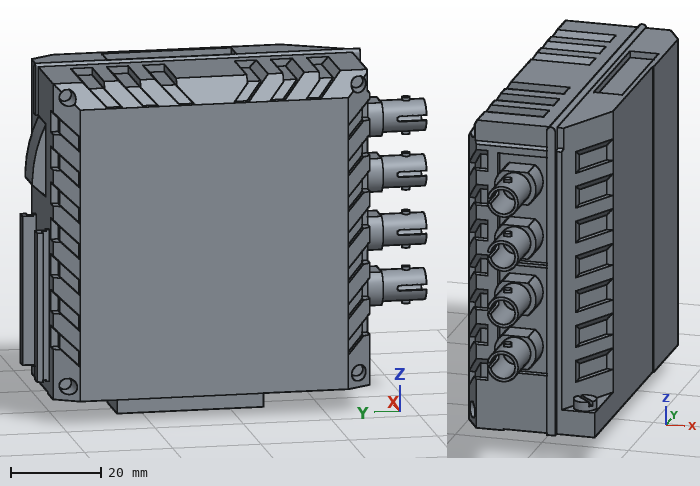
import cadquery as cq
import math


WIDTH = 30.9
DEPTH = 71.8
TOP_Z = 72.1
RAISED_BOTTOM_Z = 0.3
LEFT_FOOT_WIDTH = 9.55
CHAMFER_ACROSS = 3.3
CHAMFER_RUN = 5.5
LIP_SETBACK = 0.65
LIP_TOP_Z = 67.3
SIDE_STEP = 0.25
SIDE_STEP_Y = 46.6
OVERCUT = 1.0

BEAD_X = 20.9
BEAD_WIDTH = 1.9
BEAD_FRONT_Y = -1.2
BEAD_BACK_Y = 72.4
BEAD_TOP_Z = 72.7
BEAD_REAR_BOTTOM_Z = 61.1

GROOVE_HEIGHT = 4.85
GROOVE_PITCH = 8.18
GROOVE_DEPTH = 1.65
GROOVE_EDGE_DEPTH = 1.5
GROOVE_SLOPE = 0.93
SIDE_GROOVE_COUNT = 7
SIDE_GROOVE_TOP_Z = 65.4
SIDE_GROOVE_REACH = 5.9
TOP_GROOVE_COUNT = 3
TOP_GROOVE_END_Y = 65.1
TOP_GROOVE_REACH = 16.85

FACET_START_X = 23.0
FACET_END_Y = 14.8
FACET_BOTTOM_Z = 6.1
FACET_POCKET_START_X = 25.15
FACET_POCKET_ACROSS = 1.45
FACET_POCKET_ROOF_DROP = 1.65
FACET_POCKET_TOP_Z = 65.6
FACET_POCKET_HEIGHT = 5.05

SCREW_DIAMETER = 5.2
SCREW_HEIGHT = 2.05
SCREW_X = 27.6
SCREW_Y = 3.1
SCREW_SLOT_WIDTH = 0.85
SCREW_SLOT_DEPTH = 1.0
SCREW_SLOT_ANGLE = -45

HOLE_MOUTH_RADIUS = 1.95
HOLE_FLOOR_RADIUS = 1.5
HOLE_FLOOR_X = 5.1
HOLE_Y = (2.75, 68.8)
HOLE_Z = (3.25, 69.1)

PAIR_CENTRES_Z = (52.4, 26.45)
PAIR_WINDOW_HEIGHT = 25.3
PAIR_WINDOW_X = (8.25, 19.8)
PAIR_WINDOW_DEPTH = 1.5
CONNECTOR_PITCH = 12.7
CONNECTOR_X = 13.5
CONNECTOR_BASE_DIAMETER = 9.6
CONNECTOR_BASE_FLATS = 7.6
CONNECTOR_BASE_END_Y = -4.15
BARREL_DIAMETER = 7.1
BORE_DIAMETER = 5.7
BARREL_END_Y = -14.24
LUG_DIAMETER = 1.75
LUG_SPAN = 8.4
LUG_Y = -10.2
KEYWAY_WIDTH = 1.25
KEYWAY_END_Y = -7.6

LABEL_X = (22.9, 29.5)
LABEL_Y = (26.2, 55.5)
LABEL_RECESS_DEPTH = 1.5

CLIP_CENTRE_X = WIDTH / 2
HOOK_BACK_Y = 74.85
HOOK_LEG_OFFSET = 6.9
HOOK_LEG_THICKNESS = 1.15
HOOK_FLANGE_REACH = 2.8
HOOK_FLANGE_THICKNESS = 1.3
HOOK_Z = (3.5, 37.5)
HOOK_ROOT_LENGTH = 0.7
HOOK_ROOT_MARGIN = 0.3
LATCH_WIDTH = 8.2
LATCH_TOP_Z = 61.0
LATCH_CURVE_MIDDLE = (73.7, 56.0)
LATCH_TIP_Z = (47.2, 48.6)
LATCH_BOTTOM_Z = 44.4

TERMINAL_X = (10.2, 21.2)
TERMINAL_Y = (22.7, 55.9)
TERMINAL_HEIGHT = 5.6
BUTTON_X = 14.7
BUTTON_Y = (10.5, 14.3, 17.9)
BUTTON_RADIUS = 1.95
BUTTON_WIDTH = 2.85
BUTTON_DROP = 1.55


def box(x_range, y_range, z_range):
    """Box spanning the three given (low, high) ranges."""
    size = [high - low for low, high in (x_range, y_range, z_range)]
    corner = (x_range[0], y_range[0], z_range[0])
    return cq.Workplane("XY").box(*size, centered=False).translate(corner)


def prism_along_x(points, x_start, x_end):
    """Prism with a (Y, Z) outline."""
    return cq.Workplane("YZ").polyline(points).close().extrude(x_end - x_start).translate((x_start, 0, 0))


def cylinder_along_y(diameter, x, z, y_start, y_end):
    profile = cq.Workplane("XZ", origin=(x, y_start, z)).circle(diameter / 2)
    return profile.extrude(y_start - y_end)


def housing():
    plan = [
        (CHAMFER_ACROSS, 0),
        (WIDTH - SIDE_STEP, 0),
        (WIDTH - SIDE_STEP, SIDE_STEP_Y),
        (WIDTH, SIDE_STEP_Y),
        (WIDTH, DEPTH - CHAMFER_RUN),
        (WIDTH - CHAMFER_ACROSS, DEPTH),
        (CHAMFER_ACROSS, DEPTH),
        (0, DEPTH - CHAMFER_RUN),
        (0, CHAMFER_RUN),
    ]
    body = cq.Workplane("XY").polyline(plan).close().extrude(TOP_Z)
    top_edge = [
        (0, TOP_Z),
        (0, TOP_Z - CHAMFER_RUN),
        (CHAMFER_ACROSS, TOP_Z),
    ]
    body = body.cut(cq.Workplane("XZ").polyline(top_edge).close().extrude(-DEPTH))
    body = body.cut(box((LEFT_FOOT_WIDTH, WIDTH), (0, DEPTH), (0, RAISED_BOTTOM_Z)))
    lip = [
        (0, LIP_TOP_Z - LIP_SETBACK),
        (LIP_SETBACK, LIP_TOP_Z),
        (LIP_SETBACK, TOP_Z),
        (0, TOP_Z),
    ]
    return body.cut(prism_along_x(lip, 0, WIDTH))


def seam_bead():
    half = BEAD_WIDTH / 2
    section = (
        cq.Workplane("XZ", origin=(BEAD_X, BEAD_FRONT_Y, 0))
        .moveTo(-half, RAISED_BOTTOM_Z)
        .lineTo(half, RAISED_BOTTOM_Z)
        .lineTo(half, BEAD_TOP_Z - half)
        .threePointArc((0, BEAD_TOP_Z), (-half, BEAD_TOP_Z - half))
        .close()
    )
    bead = section.extrude(BEAD_FRONT_Y - BEAD_BACK_Y)
    below_rear = box((0, WIDTH), (DEPTH, BEAD_BACK_Y), (0, BEAD_REAR_BOTTOM_Z))
    return bead.cut(below_rear)


def groove(reach):
    """Groove in the Y = 0 face with its upper edge at Z = 0, running slantwise down the side chamfer."""
    chamfer_slope = CHAMFER_ACROSS / CHAMFER_RUN
    floor_corner_x = CHAMFER_ACROSS - chamfer_slope * GROOVE_DEPTH + GROOVE_EDGE_DEPTH
    slanted_run = CHAMFER_RUN - GROOVE_DEPTH
    plan = [
        (-OVERCUT, -OVERCUT),
        (reach, -OVERCUT),
        (reach, GROOVE_DEPTH),
        (floor_corner_x, GROOVE_DEPTH),
        (GROOVE_EDGE_DEPTH, CHAMFER_RUN),
        (-OVERCUT, CHAMFER_RUN),
    ]
    profile = [
        (-OVERCUT, GROOVE_SLOPE * OVERCUT),
        (CHAMFER_RUN, -GROOVE_SLOPE * CHAMFER_RUN),
        (CHAMFER_RUN, -GROOVE_HEIGHT - GROOVE_SLOPE * slanted_run),
        (GROOVE_DEPTH, -GROOVE_HEIGHT),
        (-OVERCUT, -GROOVE_HEIGHT),
    ]
    half_height = 2 * (GROOVE_HEIGHT + CHAMFER_RUN)
    plan_prism = cq.Workplane("XY").polyline(plan).close().extrude(half_height, both=True)
    return plan_prism.intersect(prism_along_x(profile, -OVERCUT, reach))


def cut_grooves(body):
    side_groove = groove(SIDE_GROOVE_REACH)
    for index in range(SIDE_GROOVE_COUNT):
        front = side_groove.translate((0, 0, SIDE_GROOVE_TOP_Z - index * GROOVE_PITCH))
        rear = front.mirror("XZ").translate((0, DEPTH, 0))
        body = body.cut(front).cut(rear)
    top_groove = groove(TOP_GROOVE_REACH).rotate((0, 0, 0), (1, 0, 0), -90)
    for index in range(TOP_GROOVE_COUNT):
        rear = top_groove.translate((0, TOP_GROOVE_END_Y - index * GROOVE_PITCH, TOP_Z))
        front = rear.mirror("XZ").translate((0, DEPTH, 0))
        body = body.cut(rear).cut(front)
    return body


def facet_pocket(across):
    """Pocket in a facet from the origin to (across, FACET_END_Y), with a roof sloping down inwards."""
    facet_slope = FACET_END_Y / across
    start = FACET_POCKET_START_X - FACET_START_X
    plan = [
        (start, start * facet_slope),
        (across, FACET_END_Y),
        (across - FACET_POCKET_ACROSS, FACET_END_Y),
        (start, (start + FACET_POCKET_ACROSS) * facet_slope),
    ]
    plan_prism = cq.Workplane("XY").polyline(plan).close().extrude(-FACET_POCKET_HEIGHT)
    angle = math.atan2(FACET_END_Y, across)
    depth = FACET_POCKET_ACROSS * math.sin(angle)
    profile = [
        (0, 0),
        (depth, -FACET_POCKET_ROOF_DROP),
        (depth, -FACET_POCKET_HEIGHT),
        (0, -FACET_POCKET_HEIGHT),
    ]
    roofed = prism_along_x(profile, 0, math.hypot(across, FACET_END_Y) + depth)
    return plan_prism.intersect(roofed.rotate((0, 0, 0), (0, 0, 1), math.degrees(angle)))


def cut_angled_corner(body):
    facet_end_x = WIDTH - SIDE_STEP
    across = facet_end_x - FACET_START_X
    corner = [
        (FACET_START_X, 0),
        (facet_end_x, 0),
        (facet_end_x, FACET_END_Y),
    ]
    height = TOP_Z - FACET_BOTTOM_Z
    wedge = cq.Workplane("XY").workplane(offset=FACET_BOTTOM_Z).polyline(corner).close().extrude(height)
    body = body.cut(wedge)
    pocket = facet_pocket(across)
    for index in range(SIDE_GROOVE_COUNT):
        top = FACET_POCKET_TOP_Z - index * GROOVE_PITCH
        body = body.cut(pocket.translate((FACET_START_X, 0, top)))
    return body


def ground_screw():
    head = cq.Workplane("XY").circle(SCREW_DIAMETER / 2).extrude(SCREW_HEIGHT)
    slot_centre_z = SCREW_HEIGHT - SCREW_SLOT_DEPTH / 2
    slot = cq.Workplane("XY").box(2 * SCREW_DIAMETER, SCREW_SLOT_WIDTH, SCREW_SLOT_DEPTH)
    slot = slot.rotate((0, 0, 0), (0, 0, 1), SCREW_SLOT_ANGLE).translate((0, 0, slot_centre_z))
    return head.cut(slot).translate((SCREW_X, SCREW_Y, FACET_BOTTOM_Z))


def cut_corner_holes(body):
    for y in HOLE_Y:
        for z in HOLE_Z:
            hole = (
                cq.Workplane("YZ", origin=(0, y, z))
                .circle(HOLE_MOUTH_RADIUS)
                .workplane(offset=HOLE_FLOOR_X)
                .circle(HOLE_FLOOR_RADIUS)
                .loft()
            )
            body = body.cut(hole)
    return body


def connector(z):
    x = CONNECTOR_X
    base = cylinder_along_y(CONNECTOR_BASE_DIAMETER, x, z, PAIR_WINDOW_DEPTH, CONNECTOR_BASE_END_Y)
    half_flats = CONNECTOR_BASE_FLATS / 2
    flats = box(
        (0, WIDTH),
        (CONNECTOR_BASE_END_Y, PAIR_WINDOW_DEPTH),
        (z - half_flats, z + half_flats),
    )
    barrel = cylinder_along_y(BARREL_DIAMETER, x, z, CONNECTOR_BASE_END_Y, BARREL_END_Y)
    lugs = cq.Workplane("XY").circle(LUG_DIAMETER / 2).extrude(LUG_SPAN)
    lugs = lugs.translate((x, LUG_Y, z - LUG_SPAN / 2))
    half_keyway = KEYWAY_WIDTH / 2
    round_centre_y = KEYWAY_END_Y - half_keyway
    keyway = box(
        (x - BARREL_DIAMETER, x),
        (BARREL_END_Y, round_centre_y),
        (z - half_keyway, z + half_keyway),
    )
    keyway_round = cq.Workplane("YZ", origin=(x, round_centre_y, z)).circle(half_keyway)
    keyway = keyway.union(keyway_round.extrude(-BARREL_DIAMETER))
    bore = cylinder_along_y(BORE_DIAMETER, x, z, CONNECTOR_BASE_END_Y, BARREL_END_Y)
    return base.intersect(flats).union(barrel).union(lugs).cut(keyway).cut(bore)


def add_connectors(body):
    half_window = PAIR_WINDOW_HEIGHT / 2
    for centre in PAIR_CENTRES_Z:
        window_z = (centre - half_window, centre + half_window)
        body = body.cut(box(PAIR_WINDOW_X, (0, PAIR_WINDOW_DEPTH), window_z))
        for side in (-1, 1):
            body = body.union(connector(centre + side * CONNECTOR_PITCH / 2))
    return body


def rail_hook():
    """Right-hand hook, an L section with the flange pointing outwards."""
    leg_x = CLIP_CENTRE_X + HOOK_LEG_OFFSET
    leg_span = (leg_x, leg_x + HOOK_LEG_THICKNESS)
    flange_span = (leg_x, leg_x + HOOK_FLANGE_REACH)
    root_z = (HOOK_Z[0] - HOOK_ROOT_MARGIN, HOOK_Z[1] + HOOK_ROOT_MARGIN)
    root = box(leg_span, (DEPTH, DEPTH + HOOK_ROOT_LENGTH), root_z)
    leg = box(leg_span, (DEPTH, HOOK_BACK_Y), HOOK_Z)
    flange = box(flange_span, (HOOK_BACK_Y - HOOK_FLANGE_THICKNESS, HOOK_BACK_Y), HOOK_Z)
    return root.union(leg).union(flange)


def rail_latch():
    section = (
        cq.Workplane("YZ", origin=(CLIP_CENTRE_X - LATCH_WIDTH / 2, 0, 0))
        .moveTo(DEPTH, LATCH_TOP_Z)
        .threePointArc(LATCH_CURVE_MIDDLE, (HOOK_BACK_Y, LATCH_TIP_Z[1]))
        .lineTo(HOOK_BACK_Y, LATCH_TIP_Z[0])
        .lineTo(DEPTH, LATCH_BOTTOM_Z)
        .close()
    )
    return section.extrude(LATCH_WIDTH)


def add_rail_clip(body):
    right_hook = rail_hook()
    left_hook = right_hook.mirror("YZ").translate((2 * CLIP_CENTRE_X, 0, 0))
    return body.union(right_hook).union(left_hook).union(rail_latch())


def add_underside_parts(body):
    body = body.union(box(TERMINAL_X, TERMINAL_Y, (-TERMINAL_HEIGHT, RAISED_BOTTOM_Z)))
    button_z = BUTTON_RADIUS - BUTTON_DROP
    half_width = BUTTON_WIDTH / 2
    for y in BUTTON_Y:
        button = cylinder_along_y(2 * BUTTON_RADIUS, BUTTON_X, button_z, y - half_width, y + half_width)
        body = body.union(button)
    return body


body = cut_grooves(housing())
body = cut_corner_holes(cut_angled_corner(body))
body = body.cut(box(LABEL_X, LABEL_Y, (TOP_Z - LABEL_RECESS_DEPTH, TOP_Z)))
body = body.union(seam_bead()).union(ground_screw())
body = add_rail_clip(add_connectors(body))
result = add_underside_parts(body)